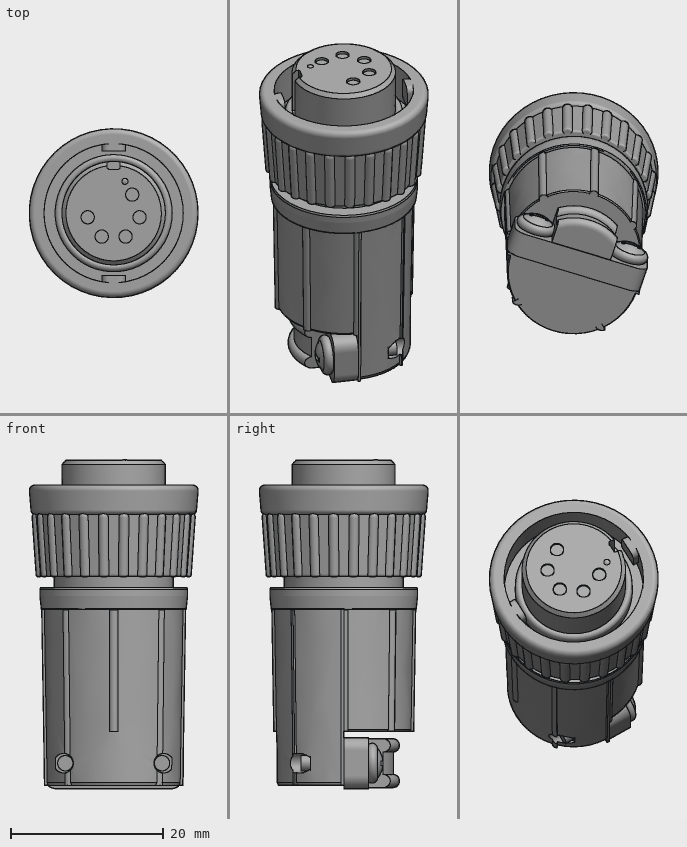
import cadquery as cq
import math

TOTAL_HEIGHT = 43.3
INDEX_DOT_HEIGHT = 0.1
INSERT_TOP = TOTAL_HEIGHT - INDEX_DOT_HEIGHT
RING_TOP = 39.95
BAND_BOTTOM = 36.65
GRIP_TOP = 36.05
RING_BOTTOM = 27.9
COLLAR_TOP = 26.47
COLLAR_SHOULDER = 25.3
COLLAR_BOTTOM = 23.55
SHORT_SHELL_BOTTOM = 7.57
LONG_SHELL_BOTTOM = 0.46

RING_DIAMETER = 22.22
RING_RADIUS = RING_DIAMETER / 2
RING_EDGE_RADIUS = 0.75
BAND_BOTTOM_RADIUS = 10.9
GRIP_TOP_RADIUS = 10.4
GRIP_BOTTOM_RADIUS = 9.85
GRIP_BOTTOM_FILLET = 0.3
BAND_UNDERCUT_RADIUS = 0.7
GRIP_RIB_COUNT = 24
GRIP_RIB_RADIUS = 0.7
GRIP_RIB_SINK = 0.28
RING_BORE_RADIUS = 9.15
RING_BORE_FLOOR = 35.0

LUG_WIDTH = 3.1
LUG_HEIGHT = 3.0
LUG_CORNER_RADIUS = 0.85
LUG_INNER_REACH = 8.2

INSERT_RADIUS = 6.8
INSERT_CHAMFER = 0.53
LIP_INNER_RADIUS = 6.67
LIP_OUTER_RADIUS = 7.7
LIP_TOP = 37.1
KEYWAY_WIDTH = 1.7
KEYWAY_FLOOR_REACH = 5.74
KEYWAY_CORNER = 0.2
CONTACT_COUNT = 5
CONTACT_CIRCLE_RADIUS = 3.45
CONTACT_FIRST_ANGLE = 45.0
CONTACT_PITCH_ANGLE = 54.0
CONTACT_RADIUS = 0.87
CONTACT_DEPTH = 0.35
INDEX_DOT_X = 1.48
INDEX_DOT_Y = 4.18
INDEX_DOT_RADIUS = 0.4

NECK_RADIUS = 7.84
COLLAR_RADIUS = 9.72
COLLAR_BOTTOM_RADIUS = 9.55
COLLAR_EDGE_WIDTH = 0.1
COLLAR_EDGE_HEIGHT = 0.26
COLLAR_FILLET = 0.15
SHELL_TOP_RADIUS = 9.12
SHELL_BOTTOM_RADIUS = 8.75
LONG_SHELL_BEVEL_HEIGHT = 0.4
SHORT_SHELL_BEVEL_HEIGHT = 0.25
SHELL_BEVEL_WIDTH = 0.15
SHELL_RIB_RADIUS = 0.6
SHELL_RIB_SINK = 0.25
HALF_RIB_RADIUS = 0.9
HALF_RIB_SINK = 0.6
SEAM_STRIP_WIDTH = 0.33

CLAMP_HALF_LENGTH = 9.15
CLAMP_HEIGHT = 6.75
CLAMP_DEPTH = 3.23
CLAMP_CORNER_RADIUS = 1.65
CLAMP_MID_HEIGHT = CLAMP_HEIGHT / 2
SADDLE_HALF_LENGTH = 4.05
SADDLE_HEIGHT = 6.46
SADDLE_RADIUS = 7.34
SADDLE_GROOVE_RADIUS = 6.57
SADDLE_BEAD_RADIUS = 0.89
SCREW_X = 6.36
SCREW_HEAD_RADIUS = 2.62
SCREW_BASE_RADIUS = 2.42
SCREW_HEAD_HEIGHT = 1.92
SCREW_RIM_HEIGHT = 0.65
SCREW_SHOULDER_RADIUS = 2.0
SCREW_SHOULDER_HEIGHT = 1.2
SCREW_DOME_RADIUS = 3.1
SCREW_SLOT_WIDTH = 0.55
SCREW_SLOT_DEPTH = 0.28
SCREW_SHANK_RADIUS = 1.01
SCREW_SHANK_END_Y = -5.6
SCREW_HOLE_X = 6.58
SCREW_HOLE_RADIUS = 1.28
SCREW_HOLE_FLOOR_Y = -4.35

OVERLAP = 0.5


def shell_radius(z):
    """Radius of the tapered shell at height z."""
    fraction = (z - LONG_SHELL_BOTTOM) / (COLLAR_BOTTOM - LONG_SHELL_BOTTOM)
    return SHELL_BOTTOM_RADIUS + fraction * (SHELL_TOP_RADIUS - SHELL_BOTTOM_RADIUS)


def leaning_rod(radius, r_low, z_low, r_high, z_high):
    """Round rod in the XZ plane running from (r_low, z_low) up to (r_high, z_high)."""
    start = cq.Vector(r_low, 0, z_low)
    run = cq.Vector(r_high, 0, z_high) - start
    return cq.Workplane(cq.Solid.makeCylinder(radius, run.Length, start, run))


def around_axis(shape, angle):
    return shape.rotate((0, 0, 0), (0, 0, 1), angle)


def y_cylinder(radius, x, z, y_start, y_end):
    start = cq.Vector(x, y_start, z)
    return cq.Workplane(cq.Solid.makeCylinder(radius, y_end - y_start, start, cq.Vector(0, 1, 0)))


def make_coupling_ring():
    ring = (
        cq.Workplane("XZ")
        .moveTo(0, RING_BOTTOM)
        .lineTo(GRIP_BOTTOM_RADIUS - GRIP_BOTTOM_FILLET, RING_BOTTOM)
        .radiusArc((GRIP_BOTTOM_RADIUS, RING_BOTTOM + GRIP_BOTTOM_FILLET), -GRIP_BOTTOM_FILLET)
        .lineTo(GRIP_TOP_RADIUS, GRIP_TOP)
        .radiusArc((BAND_BOTTOM_RADIUS, BAND_BOTTOM), -BAND_UNDERCUT_RADIUS)
        .lineTo(RING_RADIUS, RING_TOP - RING_EDGE_RADIUS)
        .radiusArc((RING_RADIUS - RING_EDGE_RADIUS, RING_TOP), -RING_EDGE_RADIUS)
        .lineTo(0, RING_TOP)
        .close()
        .revolve(360, (0, 0, 0), (0, 1, 0))
    )
    rib_low_r = GRIP_BOTTOM_RADIUS - GRIP_RIB_SINK
    rib_high_r = GRIP_TOP_RADIUS - GRIP_RIB_SINK
    rib_high_z = GRIP_TOP - GRIP_RIB_RADIUS / 2
    grip_rib = leaning_rod(GRIP_RIB_RADIUS, rib_low_r, RING_BOTTOM, rib_high_r, rib_high_z)
    grip_rib = grip_rib.faces("<Z").edges().fillet(GRIP_BOTTOM_FILLET)
    rib_tip = cq.Workplane("XY").sphere(GRIP_RIB_RADIUS).translate((rib_high_r, 0, rib_high_z))
    grip_rib = grip_rib.union(rib_tip)
    pitch = 360 / GRIP_RIB_COUNT
    ribs = [around_axis(grip_rib, (index + 0.5) * pitch).val() for index in range(GRIP_RIB_COUNT)]
    ring = ring.union(cq.Workplane(cq.Compound.makeCompound(ribs)))
    bore = (
        cq.Workplane("XY")
        .workplane(offset=RING_BORE_FLOOR)
        .circle(RING_BORE_RADIUS)
        .extrude(RING_TOP - RING_BORE_FLOOR)
    )
    return ring.cut(bore)


def make_lugs():
    """Two opposite lugs on the bore wall, flush with the top of the ring."""
    lug_length = RING_BORE_RADIUS - LUG_INNER_REACH + OVERLAP
    lug = (
        cq.Workplane("XY")
        .box(LUG_WIDTH, lug_length, LUG_HEIGHT, centered=(True, False, False))
        .edges("|Y and >Z")
        .fillet(LUG_CORNER_RADIUS)
        .translate((0, LUG_INNER_REACH, RING_TOP - LUG_HEIGHT))
    )
    return lug.union(around_axis(lug, 180))


def make_insert():
    insert = (
        cq.Workplane("XY")
        .workplane(offset=RING_BORE_FLOOR - OVERLAP)
        .circle(INSERT_RADIUS)
        .extrude(INSERT_TOP - RING_BORE_FLOOR + OVERLAP)
        .faces(">Z")
        .chamfer(INSERT_CHAMFER)
    )
    keyway_length = INSERT_RADIUS - KEYWAY_FLOOR_REACH + OVERLAP
    keyway = (
        cq.Workplane("XY")
        .box(KEYWAY_WIDTH, keyway_length, INSERT_TOP - LIP_TOP, centered=(True, False, False))
        .edges("|Z and <Y")
        .chamfer(KEYWAY_CORNER)
        .translate((0, KEYWAY_FLOOR_REACH, LIP_TOP))
    )
    insert = insert.cut(keyway)
    for index in range(CONTACT_COUNT):
        angle = math.radians(CONTACT_FIRST_ANGLE - index * CONTACT_PITCH_ANGLE)
        contact = (
            cq.Workplane("XY")
            .workplane(offset=INSERT_TOP - CONTACT_DEPTH)
            .center(CONTACT_CIRCLE_RADIUS * math.cos(angle), CONTACT_CIRCLE_RADIUS * math.sin(angle))
            .circle(CONTACT_RADIUS)
            .extrude(CONTACT_DEPTH)
        )
        insert = insert.cut(contact)
    dot_sphere_radius = (INDEX_DOT_RADIUS**2 + INDEX_DOT_HEIGHT**2) / (2 * INDEX_DOT_HEIGHT)
    index_dot = cq.Workplane("XY").sphere(dot_sphere_radius).translate(
        (INDEX_DOT_X, INDEX_DOT_Y, TOTAL_HEIGHT - dot_sphere_radius)
    )
    return insert.union(index_dot)


def make_lip():
    """Half-round lip standing on the bore floor around the insert."""
    crown_radius = (LIP_OUTER_RADIUS - LIP_INNER_RADIUS) / 2
    crown_base = LIP_TOP - crown_radius
    return (
        cq.Workplane("XZ")
        .moveTo(LIP_INNER_RADIUS, RING_BORE_FLOOR - OVERLAP)
        .lineTo(LIP_OUTER_RADIUS, RING_BORE_FLOOR - OVERLAP)
        .lineTo(LIP_OUTER_RADIUS, crown_base)
        .threePointArc((LIP_INNER_RADIUS + crown_radius, LIP_TOP), (LIP_INNER_RADIUS, crown_base))
        .close()
        .revolve(360, (0, 0, 0), (0, 1, 0))
    )


def make_neck_and_collar():
    return (
        cq.Workplane("XZ")
        .moveTo(0, COLLAR_BOTTOM)
        .lineTo(COLLAR_BOTTOM_RADIUS - COLLAR_FILLET, COLLAR_BOTTOM)
        .radiusArc((COLLAR_BOTTOM_RADIUS, COLLAR_BOTTOM + COLLAR_FILLET), -COLLAR_FILLET)
        .lineTo(COLLAR_RADIUS, COLLAR_SHOULDER)
        .lineTo(COLLAR_RADIUS, COLLAR_TOP - COLLAR_EDGE_HEIGHT)
        .lineTo(COLLAR_RADIUS - COLLAR_EDGE_WIDTH, COLLAR_TOP)
        .lineTo(NECK_RADIUS, COLLAR_TOP)
        .lineTo(NECK_RADIUS, RING_BOTTOM + OVERLAP)
        .lineTo(0, RING_BOTTOM + OVERLAP)
        .close()
        .revolve(360, (0, 0, 0), (0, 1, 0))
    )


def make_shell_cone(bottom, bevel_height):
    """Full tapered shell from the collar down to the given height."""
    bottom_radius = shell_radius(bottom)
    return (
        cq.Workplane("XZ")
        .moveTo(0, bottom)
        .lineTo(bottom_radius - SHELL_BEVEL_WIDTH, bottom)
        .lineTo(bottom_radius, bottom + bevel_height)
        .lineTo(SHELL_TOP_RADIUS, COLLAR_BOTTOM)
        .lineTo(SHELL_TOP_RADIUS, COLLAR_BOTTOM + OVERLAP)
        .lineTo(0, COLLAR_BOTTOM + OVERLAP)
        .close()
        .revolve(360, (0, 0, 0), (0, 1, 0))
    )


def make_half_space(y_sign):
    size = 2 * TOTAL_HEIGHT
    return cq.Workplane("XY").box(size, size, size).translate((0, y_sign * size / 2, 0))


def make_shell_rib(radius, sink, bottom):
    """Rib along the shell at +X, from the given height up to the collar."""
    low_r = shell_radius(bottom) - sink
    return leaning_rod(radius, low_r, bottom, SHELL_TOP_RADIUS - sink, COLLAR_BOTTOM)


def make_short_shell():
    """The +Y half, which stops above the cable clamp."""
    shell = make_shell_cone(SHORT_SHELL_BOTTOM, SHORT_SHELL_BEVEL_HEIGHT)
    rib = make_shell_rib(SHELL_RIB_RADIUS, SHELL_RIB_SINK, SHORT_SHELL_BOTTOM)
    for angle in (0, 45, 90, 135, 180):
        shell = shell.union(around_axis(rib, angle))
    return shell.intersect(make_half_space(1))


def make_long_shell():
    """The -Y half, which runs down past the cable clamp."""
    shell = make_shell_cone(LONG_SHELL_BOTTOM, LONG_SHELL_BEVEL_HEIGHT)
    center_rib = make_shell_rib(SHELL_RIB_RADIUS, SHELL_RIB_SINK, SHORT_SHELL_BOTTOM)
    shell = shell.union(around_axis(center_rib, -90))
    diagonal_rib = make_shell_rib(HALF_RIB_RADIUS, HALF_RIB_SINK, LONG_SHELL_BOTTOM)
    for angle, kept_side in ((-45, -1), (-135, 1)):
        half_rib = diagonal_rib.intersect(make_half_space(kept_side))
        shell = shell.union(around_axis(half_rib, angle))
    rib_height = SHELL_RIB_RADIUS - SHELL_RIB_SINK
    low_x = SHELL_BOTTOM_RADIUS + rib_height
    high_x = SHELL_TOP_RADIUS + rib_height
    seam_strips = (
        cq.Workplane("XZ")
        .polyline(
            [
                (-low_x, LONG_SHELL_BOTTOM),
                (low_x, LONG_SHELL_BOTTOM),
                (high_x, COLLAR_BOTTOM),
                (-high_x, COLLAR_BOTTOM),
            ]
        )
        .close()
        .extrude(SEAM_STRIP_WIDTH)
    )
    return shell.intersect(make_half_space(-1)).union(seam_strips)


def make_clamp():
    return (
        cq.Workplane("XY")
        .box(2 * CLAMP_HALF_LENGTH, CLAMP_DEPTH, CLAMP_HEIGHT, centered=(True, False, False))
        .edges("|Y")
        .fillet(CLAMP_CORNER_RADIUS)
    )


def make_saddle():
    """Arched cable saddle with a round bead along its upper and lower edge."""
    low_bead_z = CLAMP_MID_HEIGHT - SADDLE_HEIGHT / 2 + SADDLE_BEAD_RADIUS
    high_bead_z = CLAMP_MID_HEIGHT + SADDLE_HEIGHT / 2 - SADDLE_BEAD_RADIUS
    bead_circle_radius = SADDLE_RADIUS - SADDLE_BEAD_RADIUS
    bead_gap = high_bead_z - low_bead_z
    core = (
        cq.Workplane("XY")
        .workplane(offset=low_bead_z - SADDLE_BEAD_RADIUS)
        .circle(bead_circle_radius)
        .extrude(SADDLE_HEIGHT)
    )
    groove_wall = (
        cq.Workplane("XY").workplane(offset=low_bead_z).circle(SADDLE_GROOVE_RADIUS).extrude(bead_gap)
    )
    saddle = core.union(groove_wall)
    for z in (low_bead_z, high_bead_z):
        bead = cq.Solid.makeTorus(bead_circle_radius, SADDLE_BEAD_RADIUS, cq.Vector(0, 0, z))
        saddle = saddle.union(cq.Workplane(bead))
    window = cq.Workplane("XY").box(
        2 * SADDLE_HALF_LENGTH, SADDLE_RADIUS, CLAMP_HEIGHT, centered=(True, False, False)
    )
    return saddle.intersect(window)


def make_screw_head(x):
    head = (
        cq.Workplane("XY")
        .moveTo(0, -OVERLAP)
        .lineTo(SCREW_BASE_RADIUS, -OVERLAP)
        .lineTo(SCREW_BASE_RADIUS, 0)
        .threePointArc(
            (SCREW_HEAD_RADIUS, SCREW_RIM_HEIGHT),
            (SCREW_SHOULDER_RADIUS, SCREW_SHOULDER_HEIGHT),
        )
        .radiusArc((0, SCREW_HEAD_HEIGHT), -SCREW_DOME_RADIUS)
        .close()
        .revolve(360, (0, 0, 0), (0, 1, 0))
    )
    slot = cq.Workplane("XY").box(2 * SCREW_HEAD_RADIUS, 2 * SCREW_SLOT_DEPTH, SCREW_SLOT_WIDTH)
    head = head.cut(slot.translate((0, SCREW_HEAD_HEIGHT, 0)))
    return head.translate((x, CLAMP_DEPTH, CLAMP_MID_HEIGHT))


def add_clamp_screw(body, side):
    """Recess the -Y face around the screw end, then add the screw end and the screw head."""
    hole_x = side * SCREW_HOLE_X
    screw_x = side * SCREW_X
    hole = y_cylinder(SCREW_HOLE_RADIUS, hole_x, CLAMP_MID_HEIGHT, -RING_RADIUS, SCREW_HOLE_FLOOR_Y)
    shank = y_cylinder(SCREW_SHANK_RADIUS, screw_x, CLAMP_MID_HEIGHT, SCREW_SHANK_END_Y, 0)
    return body.cut(hole).union(shank).union(make_screw_head(screw_x))


def make_connector():
    connector = make_coupling_ring()
    for piece in (
        make_lugs(),
        make_lip(),
        make_insert(),
        make_neck_and_collar(),
        make_short_shell(),
        make_long_shell(),
        make_clamp(),
        make_saddle(),
    ):
        connector = connector.union(piece)
    for side in (-1, 1):
        connector = add_clamp_screw(connector, side)
    return connector


result = make_connector()